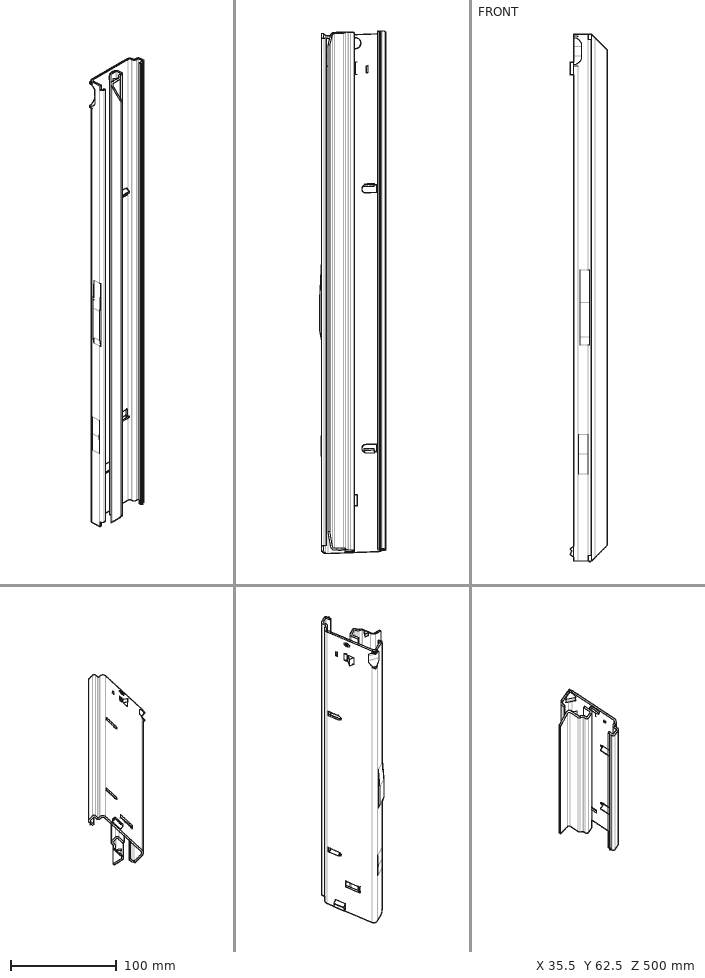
import cadquery as cq
import math


top = 500.0
bottom = 1.0
sheet = 1.75
rail_height = 61.0
relief = 3.5

lower_flange_width = 16.5
lower_lip_height = 5.0
corner_radius = 4.0
lip_radius = 3.0
ledge_height = 55.5
riser_x = 6.0
upper_lip_x = 15.0
upper_lip_end = 54.5
tight_radius = 2.0
step_radius = 1.0
lip_setback = 5.0
lip_cut_x = 14.0
bead_height = 57.0
bead_width = 2.0
bead_root = 0.5
bead_depth = 1.0

drawer_sheet = 1.75
leg_x = 6.0
leg_end = 21.5
drawer_top = 31.0
drawer_neck_x = 15.5
jog_top = 26.0
jog_bottom = 23.0
drawer_web_x = 18.5
shelf_underside = 10.0
shelf_end = 32.0
shelf_chamfer = 15.0
shelf_bend_radius = 3.5
drawer_bend_radius = 1.5

dimple_length = 5.0
dimple_center = 18.0
dimple_half_height = 3.0
dimple_depth = 3.0

long_pad_depth = 1.5
long_pad_x = (6.0, 15.0)
long_pad_z = (205.5, 213.0, 246.0, 276.5)
short_pad_depth = 0.6
short_pad_x = (4.5, 13.5)
short_pad_z = (83.5, 102.5, 121.0)

dent_reach = 7.5
dent_z = (471.5, 479.5, 488.5, 496.5)
dent_shoulder_rise = 2.5
dent_shoulder_depth = 4.0

slot_centers = (351.0, 101.0)
slot_width = 7.5
slot_y = (36.5, 50.5)
slot_corner_radius = 3.5
tab_y = (39.5, 49.0)
tab_reach = 6.0
tab_slope = 2.5

window_y = (16.5, 32.0)
window_z = (46.0, 56.5)
pinhole_y = (40.5, 42.5)
pinhole_z = (463.0, 469.5)
hook_z = (461.5, 473.5)
hook_y = (23.0, 26.0, 29.0)
groove_start = 30.5
groove_width = 3.0
groove_depth = 1.25
teeth_y = (32.0, 42.5)
teeth_z = (4.5, 7.0, 10.5, 12.5, 15.0)
teeth_valley = 2.0

rivet_y = 30.5
rivet_z = 491.5
rivet_diameter = 6.0
rivet_head_diameter = 10.5
rivet_head_thickness = 1.5
rivet_dimple_diameter = 2.5
rivet_dimple_depth = 0.5


def unit(start, end):
    """Unit vector from one point to another."""
    span = math.dist(start, end)
    return ((end[0] - start[0]) / span, (end[1] - start[1]) / span)


def edge_path(points, radii, offset):
    """Path offset to the left of a centre line, as its start followed by bends and its end.

    Each bend is a (tangent point, mid-arc point, tangent point) triple concentric with the
    centre-line bend of the given radius.
    """
    def shifted(point, direction):
        return (point[0] - direction[1] * offset, point[1] + direction[0] * offset)

    path = [shifted(points[0], unit(points[0], points[1]))]
    for before, corner, after, radius in zip(points, points[1:], points[2:], radii):
        incoming = unit(before, corner)
        outgoing = unit(corner, after)
        turn = math.atan2(
            incoming[0] * outgoing[1] - incoming[1] * outgoing[0],
            incoming[0] * outgoing[0] + incoming[1] * outgoing[1],
        )
        side = math.copysign(1, turn)
        setback = radius * math.tan(abs(turn) / 2)
        entry = (corner[0] - incoming[0] * setback, corner[1] - incoming[1] * setback)
        center = (entry[0] - incoming[1] * radius * side, entry[1] + incoming[0] * radius * side)
        bend_radius = radius - side * offset
        start_angle = math.atan2(entry[1] - center[1], entry[0] - center[0])
        path.append(tuple(
            (
                center[0] + bend_radius * math.cos(start_angle + turn * part),
                center[1] + bend_radius * math.sin(start_angle + turn * part),
            )
            for part in (0, 0.5, 1)
        ))
    path.append(shifted(points[-1], unit(points[-2], points[-1])))
    return path


def bent_sheet(points, radii, thickness):
    """Full-length sheet whose section follows a centre line with rounded bends."""
    left = edge_path(points, radii, thickness / 2)
    right = edge_path(points[::-1], radii[::-1], thickness / 2)
    outline = cq.Workplane("XY").moveTo(*left[0])
    for path in (left, right):
        if path is right:
            outline = outline.lineTo(*path[0])
        for entry, middle, leave in path[1:-1]:
            outline = outline.lineTo(*entry).threePointArc(middle, leave)
        outline = outline.lineTo(*path[-1])
    return outline.close().extrude(top - bottom).translate((0, 0, bottom))


def block(x_range, y_range, z_range):
    """Box between pairs of limits."""
    sizes = [high - low for low, high in (x_range, y_range, z_range)]
    corner = (x_range[0], y_range[0], z_range[0])
    return cq.Workplane("XY").box(*sizes, centered=False).translate(corner)


def pad(x_range, yz_points):
    """Prism along X with a side outline of (y, z) points."""
    outline = cq.Workplane("YZ").polyline(yz_points).close()
    return outline.extrude(x_range[1] - x_range[0]).translate((x_range[0], 0, 0))


def cabinet_sheet():
    """Plain cabinet rail: hooked upper lip, stepped ledge, web, lower flange and lower lip."""
    half = sheet / 2
    points = [
        (upper_lip_x - half, upper_lip_end),
        (upper_lip_x - half, rail_height - half),
        (riser_x + half, rail_height - half),
        (riser_x + half, ledge_height - half),
        (half, ledge_height - half),
        (half, half),
        (lower_flange_width - half, half),
        (lower_flange_width - half, lower_lip_height),
    ]
    radii = [
        tight_radius - half,
        tight_radius - half,
        step_radius + half,
        corner_radius - half,
        corner_radius - half,
        lip_radius - half,
    ]
    return bent_sheet(points, radii, sheet)


def lip_bead():
    """V-shaped bead along the outside of the upper lip."""
    outline = [
        (upper_lip_x - bead_root, bead_height - bead_width / 2),
        (upper_lip_x + bead_depth, bead_height),
        (upper_lip_x - bead_root, bead_height + bead_width / 2),
    ]
    return cq.Workplane("XY").polyline(outline).close().extrude(top)


def glide_pads():
    """Long flat-topped pad and short roof-shaped pad under the lower flange."""
    inside = sheet / 2
    long_start, flat_start, flat_end, long_end = long_pad_z
    long_pad = pad(long_pad_x, [
        (inside, long_start), (0, long_start), (-long_pad_depth, flat_start),
        (-long_pad_depth, flat_end), (0, long_end), (inside, long_end),
    ])
    short_start, ridge, short_end = short_pad_z
    short_pad = pad(short_pad_x, [
        (inside, short_start), (0, short_start), (-short_pad_depth, ridge),
        (0, short_end), (inside, short_end),
    ])
    return long_pad, short_pad


def dent_form(extra):
    """Press form along the corner diagonal with rounded end slopes, enlarged by a wall thickness."""
    depth = dent_reach / math.sqrt(2) + extra
    shoulder = dent_shoulder_depth + extra
    base = corner_radius * (math.sqrt(2) - 1)
    low = dent_z[0] - extra
    flat_low, flat_high = dent_z[1:3]
    high = dent_z[3] + extra
    width = 2 * dent_reach + 2 * sheet
    diagonal = cq.Plane(origin=(0, 0, 0), xDir=(1, 1, 0), normal=(1, -1, 0))
    outline = (
        cq.Workplane(diagonal)
        .moveTo(0, low)
        .lineTo(base, low)
        .threePointArc((shoulder, low + dent_shoulder_rise), (depth, flat_low))
        .lineTo(depth, flat_high)
        .threePointArc((shoulder, high - dent_shoulder_rise), (base, high))
        .lineTo(0, high)
        .close()
    )
    return outline.extrude(width, both=True)


def slot_tab(center, side):
    """Tab bent inwards from one long edge of a slot and leaning across the slot."""
    edge = center + side * slot_width / 2
    outline = [
        (0, edge + side * sheet), (0, edge), (tab_reach, edge - side * tab_slope),
        (tab_reach, edge - side * (tab_slope - sheet)),
    ]
    prism = cq.Workplane("XZ").polyline(outline).close().extrude(tab_y[0] - tab_y[1])
    return prism.translate((0, tab_y[0], 0))


def slot(center):
    """Cutter for a screw slot, rounded at the end nearer the lower flange."""
    slot_z = (center - slot_width / 2, center + slot_width / 2)
    cutter = block((0, sheet), slot_y, slot_z)
    return cutter.edges("|X and <Y").fillet(slot_corner_radius)


def hook():
    """V-shaped hook standing out of the web."""
    low, crest, high = hook_y
    outline = [(sheet / 2, low), (0, low), (-relief, crest), (0, high), (sheet / 2, high)]
    prism = cq.Workplane("XY").polyline(outline).close().extrude(hook_z[1] - hook_z[0])
    return prism.translate((0, 0, hook_z[0]))


def hook_groove():
    """Shallow V groove in the web beside the hook."""
    start = groove_start
    outline = [(0, start), (groove_depth, start), (0, start + groove_width)]
    prism = cq.Workplane("XY").polyline(outline).close().extrude(hook_z[1] - hook_z[0])
    return prism.translate((0, 0, hook_z[0]))


def stop_teeth():
    """Two saw teeth standing out of the web near the lower end."""
    foot, low_crest, valley, high_crest, head = teeth_z
    outline = [
        (sheet / 2, foot), (0, foot), (-relief, low_crest), (-teeth_valley, valley),
        (-relief, high_crest), (0, head), (sheet / 2, head),
    ]
    prism = cq.Workplane("XZ").polyline(outline).close().extrude(teeth_y[0] - teeth_y[1])
    return prism.translate((0, teeth_y[0], 0))


def rivet_cylinder(diameter, start, thickness):
    center = cq.Workplane("YZ", origin=(start, rivet_y, rivet_z))
    return center.circle(diameter / 2).extrude(thickness)


def make_cabinet_rail():
    rail = cabinet_sheet().union(lip_bead())
    envelope = block((0, 2 * dent_reach), (0, 2 * dent_reach), (0, top))
    rail = rail.union(dent_form(sheet).intersect(envelope)).cut(dent_form(0))
    for start in (bottom, top - lip_setback):
        lip_range = (lip_cut_x, lower_flange_width)
        rail = rail.cut(block(lip_range, (0, lower_lip_height), (start, start + lip_setback)))
    for glide_pad in glide_pads():
        rail = rail.union(glide_pad)
    for center, side in zip(slot_centers, (1, -1)):
        rail = rail.cut(slot(center)).union(slot_tab(center, side))
    rail = rail.cut(block((0, sheet), window_y, window_z))
    rail = rail.cut(block((0, sheet), pinhole_y, pinhole_z))
    rail = rail.union(hook()).cut(hook_groove())
    rail = rail.union(stop_teeth())
    return rail.cut(rivet_cylinder(rivet_diameter, 0, sheet))


def drawer_sheet_body():
    """Plain drawer rail: leg, top, jogged web and shelf."""
    half = drawer_sheet / 2
    points = [
        (leg_x + half, leg_end),
        (leg_x + half, drawer_top - half),
        (drawer_neck_x - half, drawer_top - half),
        (drawer_neck_x - half, jog_top),
        (drawer_web_x - half, jog_bottom),
        (drawer_web_x - half, shelf_underside + half),
        (shelf_end, shelf_underside + half),
    ]
    radii = [drawer_bend_radius] * 4 + [shelf_bend_radius - half]
    return bent_sheet(points, radii, drawer_sheet)


def dimple(start):
    """V-shaped stop pressed out of the drawer rail web towards the cabinet rail."""
    web_face = drawer_web_x - drawer_sheet
    outline = [
        (web_face + drawer_sheet / 2, dimple_center - dimple_half_height),
        (web_face - dimple_depth, dimple_center),
        (web_face + drawer_sheet / 2, dimple_center + dimple_half_height),
    ]
    prism = cq.Workplane("XY").polyline(outline).close().extrude(dimple_length)
    return prism.translate((0, 0, start))


def make_drawer_rail():
    rail = drawer_sheet_body()
    for start in (bottom, top - dimple_length):
        rail = rail.union(dimple(start))
    for end, inward in ((bottom, 1), (top, -1)):
        chamfer_end = end + inward * shelf_chamfer
        corner = [(shelf_end, end), (shelf_end - shelf_chamfer, end), (shelf_end, chamfer_end)]
        rail = rail.cut(cq.Workplane("XZ").polyline(corner).close().extrude(-drawer_top))
    return rail


def make_rivet():
    shank = rivet_cylinder(rivet_diameter, 0, sheet)
    body = shank.union(rivet_cylinder(rivet_head_diameter, sheet, rivet_head_thickness))
    return body.cut(rivet_cylinder(rivet_dimple_diameter, 0, rivet_dimple_depth))


cabinet_rail = make_cabinet_rail()
drawer_rail = make_drawer_rail()
rivet = make_rivet()

result = cq.Compound.makeCompound([cabinet_rail.val(), drawer_rail.val(), rivet.val()])